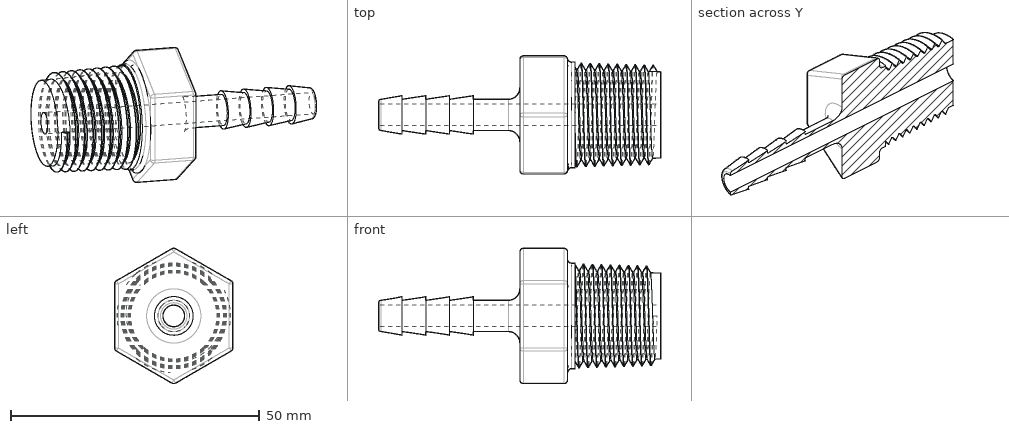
import cadquery as cq
import math

total_length = 56.9
hex_start = 28.45
hex_length = 9.65
hex_end = hex_start + hex_length

bore_diameter = 4.32
shank_diameter = 6.35
barb_diameter = 7.8
barb_count = 4
first_barb_x = 4.72
barb_pitch = 4.8
tip_round = 0.51
shank_fillet = 2.3

hex_sides = 6
hex_across_flats = 23.876
edge_round = 0.762
collar_diameter = 21.34
collar_length = 1.524

millimetres_per_inch = 25.4
threads_per_inch = 14
thread_pitch = millimetres_per_inch / threads_per_inch
taper_slope = 1 / 32
root_end_radius = 8.7
thread_height = 1.27
flank_angle = 30
crest_width = 0.1
root_overlap = 0.1
thread_end_x = 55.36
thread_turns = 9.75


def root_radius(x):
    """Radius of the tapered thread root at station x."""
    return root_end_radius + (total_length - x) * taper_slope


def make_barb():
    """Barbed hose tail with a rounded tip and a fillet onto the hexagon."""
    shank_radius = shank_diameter / 2
    barb_radius = barb_diameter / 2
    profile = (
        cq.Workplane("XY")
        .lineTo(0, shank_radius - tip_round)
        .radiusArc((tip_round, shank_radius), tip_round)
    )
    for index in range(barb_count):
        barb_x = first_barb_x + index * barb_pitch
        profile = profile.lineTo(barb_x, barb_radius).lineTo(barb_x, shank_radius)
    profile = (
        profile.lineTo(hex_start - shank_fillet, shank_radius)
        .radiusArc((hex_start, shank_radius + shank_fillet), -shank_fillet)
        .lineTo(hex_start + edge_round, shank_radius + shank_fillet)
        .lineTo(hex_start + edge_round, 0)
        .close()
    )
    return profile.revolve(360, (0, 0, 0), (1, 0, 0))


def make_hexagon():
    """Wrench hexagon with flats facing +Y and -Y and every edge rounded."""
    across_corners = hex_across_flats / math.cos(math.pi / hex_sides)
    return (
        cq.Workplane("YZ", origin=(hex_start, 0, 0))
        .transformed(rotate=(0, 0, 90))
        .polygon(hex_sides, across_corners)
        .extrude(hex_length)
        .edges()
        .fillet(edge_round)
    )


def make_collar_and_root():
    """Round collar flaring onto the hexagon, then the tapered thread root."""
    collar_radius = collar_diameter / 2
    flare_radius = collar_radius + edge_round
    collar_end = hex_end + collar_length
    inside_x = hex_end - edge_round
    return (
        cq.Workplane("XY")
        .moveTo(inside_x, 0)
        .lineTo(inside_x, flare_radius)
        .lineTo(hex_end, flare_radius)
        .radiusArc((hex_end + edge_round, collar_radius), -edge_round)
        .lineTo(collar_end, collar_radius)
        .lineTo(collar_end, root_radius(collar_end))
        .lineTo(total_length, root_end_radius)
        .lineTo(total_length, 0)
        .close()
        .revolve(360, (0, 0, 0), (1, 0, 0))
    )


def make_thread():
    """Right-hand tapered ridge, swept along a conical helix about X."""
    helix_length = thread_turns * thread_pitch
    start_x = thread_end_x - helix_length
    start_radius = root_radius(start_x)
    taper_angle = math.degrees(math.atan(taper_slope))
    helix = cq.Wire.makeHelix(thread_pitch, helix_length, start_radius, angle=-taper_angle)

    half_crest = crest_width / 2
    flank_slope = math.tan(math.radians(flank_angle))
    half_base = half_crest + (thread_height + root_overlap) * flank_slope
    base_radius = start_radius - root_overlap
    crest_radius = start_radius + thread_height
    ridge = (
        cq.Workplane("XZ")
        .moveTo(base_radius, -half_base)
        .lineTo(crest_radius, -half_crest)
        .lineTo(crest_radius, half_crest)
        .lineTo(base_radius, half_base)
        .close()
        .sweep(cq.Workplane(helix), isFrenet=True)
    )
    return (
        ridge.rotate((0, 0, 0), (0, 1, 0), 90)
        .rotate((0, 0, 0), (1, 0, 0), 180)
        .translate((start_x, 0, 0))
    )


def make_bore():
    """Straight bore through the whole fitting."""
    return cq.Workplane("YZ").circle(bore_diameter / 2).extrude(total_length)


result = (
    make_collar_and_root()
    .union(make_thread())
    .union(make_hexagon())
    .union(make_barb())
    .cut(make_bore())
)